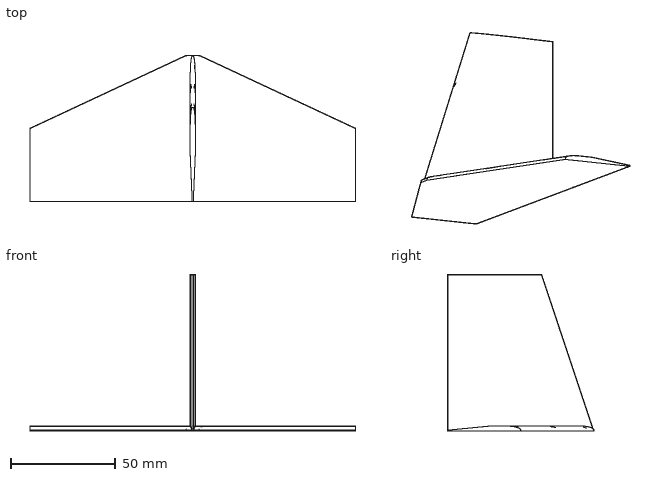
import cadquery as cq
import math

SPAN = 156.0
ROOT_CHORD = 70.0
TIP_CHORD = 35.0
FRONT_WIDTH = 6.3
PLATE_THICKNESS = 2.5
PLATE_EDGE_THICKNESS = 0.5
PLATE_NOSE_LENGTH = 6.2
PLATE_TAPER_LENGTH = 20.4

TOTAL_HEIGHT = 75.0
FIN_TOP_CHORD = 45.0
FIN_THICKNESS = 2.5
FIN_EDGE_THICKNESS = 0.5
FIN_NOSE_LENGTH = 9.0
FIN_TAPER_LENGTH = 23.0

HALF_SPAN = SPAN / 2
HALF_FRONT_WIDTH = FRONT_WIDTH / 2
PLATE_SWEEP = math.degrees(math.atan2(ROOT_CHORD - TIP_CHORD, HALF_SPAN - HALF_FRONT_WIDTH))
FIN_SWEEP = math.degrees(math.atan2(ROOT_CHORD - FIN_TOP_CHORD, TOTAL_HEIGHT))
REACH = 2 * SPAN


def nose_profile(thickness, edge_thickness, nose_length):
    """YZ section on a flat base: blunt front at y = 0, elliptic nose, flat top running to -y."""
    return (
        cq.Workplane("YZ")
        .lineTo(0, edge_thickness)
        .ellipseArc(nose_length, thickness - edge_thickness, 0, 90, startAtCurrent=True)
        .lineTo(-REACH, thickness)
        .lineTo(-REACH, 0)
        .close()
    )


def tail_profile(thickness, edge_thickness, taper_length):
    """YZ section on a flat base: blunt rear at y = 0, straight taper up to the flat top."""
    return (
        cq.Workplane("YZ")
        .lineTo(0, edge_thickness)
        .lineTo(taper_length, thickness)
        .lineTo(ROOT_CHORD, thickness)
        .lineTo(ROOT_CHORD, 0)
        .close()
    )


def make_tailplane():
    nose_section = nose_profile(PLATE_THICKNESS, PLATE_EDGE_THICKNESS, PLATE_NOSE_LENGTH)
    nose = nose_section.extrude(REACH, both=True)
    plate_section = tail_profile(PLATE_THICKNESS, PLATE_EDGE_THICKNESS, PLATE_TAPER_LENGTH)
    plate = plate_section.extrude(HALF_SPAN, both=True)
    for side in (-1, 0, 1):
        edge_slab = nose.rotate((0, 0, 0), (0, 0, 1), -side * PLATE_SWEEP)
        plate = plate.intersect(edge_slab.translate((side * HALF_FRONT_WIDTH, ROOT_CHORD, 0)))
    return plate


def make_fin(tailplane):
    half_thickness = FIN_THICKNESS / 2
    half_edge = FIN_EDGE_THICKNESS / 2
    nose = (
        nose_profile(half_thickness, half_edge, FIN_NOSE_LENGTH)
        .extrude(REACH, both=True)
        .rotate((0, 0, 0), (0, 0, 1), -FIN_SWEEP)
        .translate((0, ROOT_CHORD, 0))
    )
    flat_side = tail_profile(half_thickness, half_edge, FIN_TAPER_LENGTH).extrude(TOTAL_HEIGHT)
    left_side = flat_side.intersect(nose).rotate((0, 0, 0), (0, 1, 0), -90)
    fin = left_side.union(left_side.mirror("YZ"))
    return fin.cut(tailplane)


tailplane = make_tailplane()
fin = make_fin(tailplane)
result = cq.Compound.makeCompound([tailplane.val(), *fin.vals()])